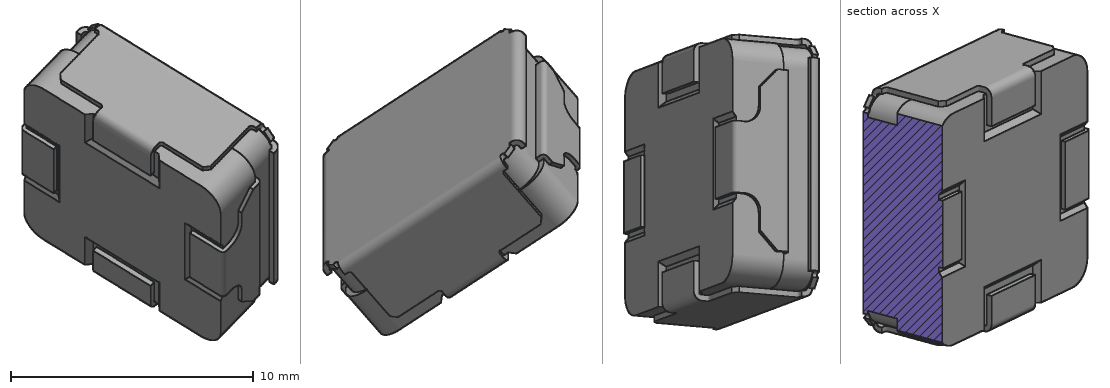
import cadquery as cq


CASE_HALF = 5.13
CASE_DEPTH = 2.34
CASE_CORNER_RADIUS = 1.04

FRONT_STANDOFF = 0.03
TOTAL_DEPTH = 4.13
FRONT_Y = -FRONT_STANDOFF
BACK_Y = FRONT_Y + TOTAL_DEPTH
PAD_HALF_WIDTH = 1.5

SHEET = 0.25
BEND_RADIUS = 0.38
COVER_HALF_Z = 5.41
COVER_HALF_X = 5.15
PLATE_FRONT_Y = BACK_Y - SHEET
BEND_HALF_X = 4.21
FLANGE_HALF_X = 3.93
FLANGE_STEP_Y = 3.6
FLANGE_END_Y = 0.65
FLANGE_CHAMFER = 0.24
STEP_FILLET = 0.14
PAD_FILLET = 0.11
FLANGE_PAD_END_Z = 3.75
LIP_HALF_Z = 4.47
LIP_FRONT_Y = 3.57
CORNER_X = COVER_HALF_X - BEND_RADIUS
CORNER_Z = 5.09
RELIEF_RADIUS = 0.103

CORE_HALF_X = 4.87
CORE_HALF_Z = 5.06
CORE_CORNER_RADIUS = 1.03

CLIP_HALF_X = 5.31
CLIP_BACK_Y = 2.54
CLIP_BEND_RADIUS = 0.21
CLIP_HALF_Z = 3.81
CLIP_SHOULDER_Y = 1.97
CLIP_WAIST_Y = 1.19
CLIP_SLOPE = CLIP_SHOULDER_Y - CLIP_WAIST_Y
CLIP_CURVE_RADIUS = 0.72
CLIP_PAD_END_X = 3.55

FLANGE_POCKET_HALF_WIDTH = 1.95
FLANGE_POCKET_INNER_END = 3.22
FLANGE_POCKET_DEPTH = 0.25
FLANGE_POCKET_TAPER = 0.24
CLIP_POCKET_HALF_WIDTH = 1.92
CLIP_POCKET_INNER_END = 3.27
CLIP_POCKET_DEPTH = 0.16
CLIP_POCKET_TAPER = 0.21
POCKET_OVERRUN = 0.11


def block(half_x, half_z, y_start, y_end):
    """Box centred on the Y axis, between two Y positions."""
    return cq.Workplane("XY").box(2 * half_x, y_end - y_start, 2 * half_z).translate(
        (0, (y_start + y_end) / 2, 0)
    )


def pocket(half_width, inner_end, depth, taper):
    """Tapered pocket cutter, open at the +X edge of the case."""
    outer_end = CASE_HALF + POCKET_OVERRUN
    floor_end = inner_end + taper
    return (
        cq.Workplane("XZ")
        .center((inner_end + outer_end) / 2, 0)
        .rect(outer_end - inner_end, 2 * half_width)
        .workplane(offset=-depth)
        .center(taper / 2, 0)
        .rect(outer_end - floor_end, 2 * (half_width - taper))
        .loft(ruled=True)
    )


def make_case():
    case = block(CASE_HALF, CASE_HALF, 0, CASE_DEPTH).edges("|Y").fillet(CASE_CORNER_RADIUS)
    clip_pocket = pocket(
        CLIP_POCKET_HALF_WIDTH, CLIP_POCKET_INNER_END, CLIP_POCKET_DEPTH, CLIP_POCKET_TAPER
    )
    flange_pocket = pocket(
        FLANGE_POCKET_HALF_WIDTH, FLANGE_POCKET_INNER_END, FLANGE_POCKET_DEPTH, FLANGE_POCKET_TAPER
    )
    for cutter, angles in ((clip_pocket, (0, 180)), (flange_pocket, (90, 270))):
        for angle in angles:
            case = case.cut(cutter.rotate((0, 0, 0), (0, 1, 0), angle))
    return case


def make_core():
    core = block(CORE_HALF_X, CORE_HALF_Z, CASE_DEPTH, PLATE_FRONT_Y)
    return core.edges("|Y").fillet(CORE_CORNER_RADIUS)


def flange_outline():
    """Cover without lips as seen along Z, extruded through the full height."""
    pad_fillet_x = PAD_HALF_WIDTH + PAD_FILLET
    step_fillet_x = FLANGE_HALF_X + STEP_FILLET
    half = (
        cq.Workplane("XY")
        .moveTo(0, FRONT_Y)
        .lineTo(PAD_HALF_WIDTH, FRONT_Y)
        .lineTo(PAD_HALF_WIDTH, FLANGE_END_Y - PAD_FILLET)
        .radiusArc((pad_fillet_x, FLANGE_END_Y), PAD_FILLET)
        .lineTo(FLANGE_HALF_X - FLANGE_CHAMFER, FLANGE_END_Y)
        .lineTo(FLANGE_HALF_X, FLANGE_END_Y + FLANGE_CHAMFER)
        .lineTo(FLANGE_HALF_X, FLANGE_STEP_Y - STEP_FILLET)
        .radiusArc((step_fillet_x, FLANGE_STEP_Y), STEP_FILLET)
        .lineTo(BEND_HALF_X, FLANGE_STEP_Y)
        .lineTo(BEND_HALF_X, BACK_Y)
        .lineTo(0, BACK_Y)
        .close()
        .extrude(COVER_HALF_Z, both=True)
    )
    return half.union(half.mirror("YZ"))


def make_flanges():
    """Back plate with both long flanges, folded in at the front to form contact pads."""
    outer = block(BEND_HALF_X, COVER_HALF_Z, FRONT_Y, BACK_Y)
    outer = outer.edges("|X").fillet(BEND_RADIUS)
    inner = block(BEND_HALF_X, COVER_HALF_Z - SHEET, FRONT_Y + SHEET, PLATE_FRONT_Y)
    inner = inner.edges("|X").fillet(BEND_RADIUS - SHEET)
    opening = block(BEND_HALF_X, FLANGE_PAD_END_Z, FRONT_Y, FRONT_Y + SHEET)
    return outer.cut(inner).cut(opening).intersect(flange_outline())


def make_lips():
    """Back plate with the short lips bent forward at both X ends."""
    outer = block(COVER_HALF_X, LIP_HALF_Z, LIP_FRONT_Y, BACK_Y)
    outer = outer.edges("|Z and >Y").fillet(BEND_RADIUS)
    inner = block(COVER_HALF_X - SHEET, LIP_HALF_Z, LIP_FRONT_Y, PLATE_FRONT_Y)
    inner = inner.edges("|Z and >Y").fillet(BEND_RADIUS - SHEET)
    return outer.cut(inner)


def make_plate_corner():
    """Chamfered +X +Z corner of the back plate, with a relief notch beside each bend."""
    relief = 2 * RELIEF_RADIUS
    return (
        cq.Workplane("XZ", origin=(0, BACK_Y, 0))
        .moveTo(BEND_HALF_X, LIP_HALF_Z)
        .lineTo(CORNER_X, LIP_HALF_Z)
        .threePointArc(
            (CORNER_X - RELIEF_RADIUS, LIP_HALF_Z + RELIEF_RADIUS),
            (CORNER_X, LIP_HALF_Z + relief),
        )
        .lineTo(BEND_HALF_X + relief, CORNER_Z)
        .threePointArc(
            (BEND_HALF_X + RELIEF_RADIUS, CORNER_Z - RELIEF_RADIUS),
            (BEND_HALF_X, CORNER_Z),
        )
        .close()
        .extrude(SHEET)
    )


def make_cover():
    cover = make_flanges().union(make_lips())
    right_corner = make_plate_corner()
    for corner in (right_corner, right_corner.mirror("YZ")):
        cover = cover.union(corner).union(corner.mirror("XY"))
    return cover


def clip_outline():
    """Clip as seen along X, wide at the back and narrowing to the contact pad."""
    curve_start_z = PAD_HALF_WIDTH + CLIP_CURVE_RADIUS
    half = (
        cq.Workplane("YZ")
        .moveTo(FRONT_Y, 0)
        .lineTo(FRONT_Y, PAD_HALF_WIDTH)
        .lineTo(CLIP_WAIST_Y - CLIP_CURVE_RADIUS, PAD_HALF_WIDTH)
        .radiusArc((CLIP_WAIST_Y, curve_start_z), -CLIP_CURVE_RADIUS)
        .lineTo(CLIP_WAIST_Y, CLIP_HALF_Z - CLIP_SLOPE)
        .lineTo(CLIP_SHOULDER_Y, CLIP_HALF_Z)
        .lineTo(CLIP_BACK_Y, CLIP_HALF_Z)
        .lineTo(CLIP_BACK_Y, 0)
        .close()
        .extrude(CLIP_HALF_X)
    )
    return half.union(half.mirror("XY"))


def make_clip():
    """+X clip: hooks over the back of the case and folds under it at the front."""
    clip = (
        cq.Workplane("XY")
        .moveTo(CLIP_PAD_END_X, FRONT_Y)
        .lineTo(CLIP_HALF_X, FRONT_Y)
        .lineTo(CLIP_HALF_X, CLIP_BACK_Y)
        .lineTo(CORE_HALF_X, CLIP_BACK_Y)
        .lineTo(CORE_HALF_X, CASE_DEPTH)
        .lineTo(CASE_HALF, CASE_DEPTH)
        .lineTo(CASE_HALF, CLIP_POCKET_DEPTH)
        .lineTo(CLIP_PAD_END_X, CLIP_POCKET_DEPTH)
        .close()
        .extrude(CLIP_HALF_Z, both=True)
    )
    clip = clip.edges("|Z and >X").fillet(CLIP_BEND_RADIUS)
    return clip.intersect(clip_outline())


clip = make_clip()
result = make_case().union(make_core()).union(make_cover()).union(clip).union(clip.mirror("YZ"))